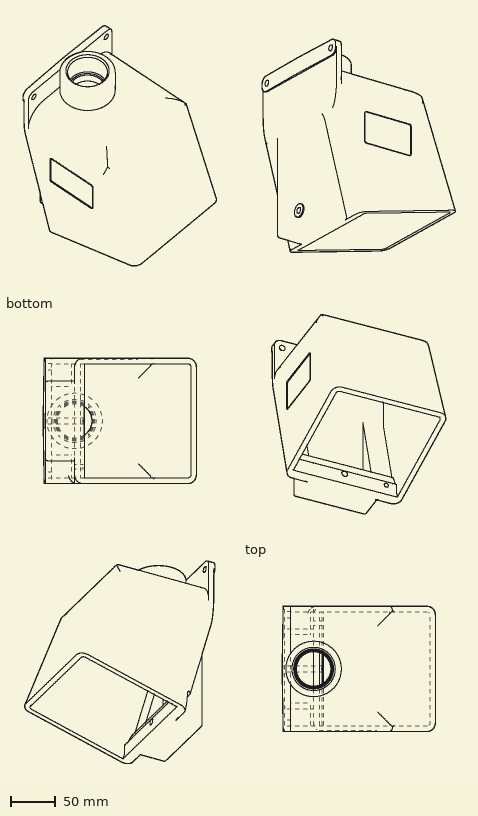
import cadquery as cq
import math

WIDTH = 139.7
HALF_WIDTH = WIDTH / 2
PLATE_TOP = 203.2
PLATE_THICKNESS = 6.6
PLATE_CORNER_RADIUS = 7.94
HOOD_TOP = 174.625
REAR_ANGLE = math.radians(15.2)
FRONT_ANGLE = math.radians(20)
REAR_FOOT_X = 32.7
FRONT_FOOT_X = 168.29
TOP_RADIUS = 25.4
REAR_CORNER_RADIUS = 9.525
FRONT_CORNER_RADIUS = 9.9
WALL = 6.35

BOX_HALF_WIDTH = 44.45
BOX_EDGE_RADIUS = 3.0
BOX_OVERLAP = 3.0

LEDGE_Z = 22.2
LEDGE_START_X = 38.9
LEDGE_EDGE_RADIUS = 1.8
BASE_FRONT_X = 41.7
LIP_THICKNESS = 11.1
FLOOR_END_X = 32.2
FLOOR_SLOPE_ANGLE = math.radians(25)
FLOOR_Z = LEDGE_Z + (LEDGE_START_X - FLOOR_END_X) / math.tan(FLOOR_SLOPE_ANGLE)

NOTCH_FACE_X = REAR_FOOT_X
NOTCH_CEILING_Z = 24.3
NOTCH_INNER_RADIUS = 2.8
NOTCH_OUTER_RADIUS = 1.6
NOTCH_HOLE_DIAMETER = 5.0
NOTCH_HOLE_Y = 50.8
NOTCH_HOLE_Z = 16.7

SPOUT_X = 32.6
SPOUT_TOP = 206.5
SPOUT_RADIUS = 30.9
SPOUT_LIP_RADIUS = SPOUT_TOP - PLATE_TOP
BORE_MOUTH_RADIUS = 24.1
BORE_TOP_RADIUS = 22.2
BORE_BOTTOM_RADIUS = 21.4
BORE_CONE_RADIUS = 20.4
OUTLET_RADIUS = 19.2
BORE_MOUTH_DEPTH = 2.2
BORE_DEPTH = 25.4
CONE_DEPTH = 27.2
OUTLET_DEPTH = 28.3

MOUNT_HOLE_DIAMETER = 6.8
MOUNT_HOLE_INSET = 9.525
BOX_HOLE_Z = 17.46
PAD_HEIGHT = 19.05
PAD_CENTRE_THICKNESS = 2.6
PAD_END_THICKNESS = 1.4
SEAT_DIAMETER = 15.875
SEAT_THICKNESS = 1.5875
LABEL_LENGTH = 63.5
LABEL_HEIGHT = 38.1
LABEL_THICKNESS = 0.8
LABEL_CORNER_RADIUS = 2.5
LABEL_RECESS = 0.5
LABEL_X = 70.8
LABEL_Z = 104.8

REACH = 2 * PLATE_TOP


def bottom_z(x):
    """Height of the sloping open bottom, which is square to the rear wall."""
    return (x - REAR_FOOT_X) * math.tan(REAR_ANGLE)


def rear_x(z, inset=0):
    """X of the leaning rear wall at height z, moved inward by inset."""
    return REAR_FOOT_X + inset / math.cos(REAR_ANGLE) - z * math.tan(REAR_ANGLE)


def front_x(z, inset=0):
    """X of the leaning front wall at height z, moved inward by inset."""
    rise = z - bottom_z(FRONT_FOOT_X)
    return FRONT_FOOT_X - inset / math.cos(FRONT_ANGLE) - rise * math.tan(FRONT_ANGLE)


def prism_xz(points, y_low, y_high):
    """Prism of an XZ polygon between two Y values."""
    outline = cq.Workplane("XZ", origin=(0, y_high, 0)).polyline(points).close()
    return outline.extrude(y_high - y_low)


def edge_along_y(x, z):
    """Selector of the edge along Y that is nearest to an XZ point of a prism centred on Y = 0."""
    return cq.selectors.NearestToPointSelector((x, 0, z))


def cylinder_x(diameter, x_low, x_high, y, z):
    """Cylinder along X."""
    return (
        cq.Workplane("YZ", origin=(x_low, y, z))
        .circle(diameter / 2)
        .extrude(x_high - x_low)
    )


def leaning_bar(foot_x, angle, half_width, radius, edges, shift):
    """Long bar with one face on a leaning wall and the corners of that face rounded."""
    bar = cq.Workplane("XY").box(REACH, 2 * half_width, 2 * REACH)
    bar = bar.edges(edges).fillet(radius).translate((shift * REACH / 2, 0, 0))
    return bar.rotate((0, 0, 0), (0, 1, 0), -math.degrees(angle)).translate((foot_x, 0, 0))


def rear_bar():
    """Everything in front of the rear wall."""
    return leaning_bar(rear_x(0), REAR_ANGLE, HALF_WIDTH, REAR_CORNER_RADIUS, "|Z and <X", 1)


def front_bar(inset):
    """Everything behind the front wall."""
    radius = FRONT_CORNER_RADIUS - inset
    return leaning_bar(front_x(0, inset), FRONT_ANGLE, HALF_WIDTH - inset, radius, "|Z and >X", -1)


def hood_envelope(inset):
    """Hood without rear and bottom limits: three rounded prisms that meet in mitred edges."""
    top = HOOD_TOP - inset
    top_radius = TOP_RADIUS - inset
    half_width = HALF_WIDTH - inset
    side_prism = prism_xz(
        [(0, -top), (front_x(-top, inset), -top), (front_x(top, inset), top), (0, top)],
        -half_width,
        half_width,
    )
    side_prism = side_prism.edges(edge_along_y(front_x(top, inset), top)).fillet(top_radius)
    top_prism = (
        cq.Workplane("XY")
        .box(REACH, 2 * half_width, 2 * top)
        .edges("|X and >Z")
        .fillet(top_radius)
    )
    return side_prism.intersect(top_prism).intersect(front_bar(inset))


def make_plate():
    """Mounting plate, its lower end to be cut by the leaning rear wall."""
    return (
        cq.Workplane("XY")
        .box(PLATE_THICKNESS, WIDTH, PLATE_TOP, centered=(False, True, False))
        .edges("|X and >Z")
        .fillet(PLATE_CORNER_RADIUS)
    )


def make_box():
    """Box that fills the wedge between the plate plane and the rear wall."""
    front = rear_x(0, BOX_OVERLAP)
    peak_z = front / math.tan(REAR_ANGLE)
    box = prism_xz(
        [(0, 0), (front, 0), (0, peak_z)],
        -BOX_HALF_WIDTH,
        BOX_HALF_WIDTH,
    )
    return box.edges("|Z or |X or (<X and <Z)").fillet(BOX_EDGE_RADIUS)


def make_base():
    """Solid foot of the box: a floor that slopes down to a ledge with a rounded front edge."""
    lip_top = (rear_x(0, LIP_THICKNESS) - BASE_FRONT_X) / math.tan(REAR_ANGLE)
    base = prism_xz(
        [
            (0, -HOOD_TOP),
            (rear_x(-HOOD_TOP, LIP_THICKNESS), -HOOD_TOP),
            (BASE_FRONT_X, lip_top),
            (BASE_FRONT_X, LEDGE_Z),
            (LEDGE_START_X, LEDGE_Z),
            (FLOOR_END_X, FLOOR_Z),
            (0, FLOOR_Z),
        ],
        -HALF_WIDTH,
        HALF_WIDTH,
    )
    return base.edges(edge_along_y(BASE_FRONT_X, LEDGE_Z)).fillet(LEDGE_EDGE_RADIUS)


def make_cavity():
    """Inside of the hood and the box, open at the bottom and standing on the base."""
    peak = (PLATE_THICKNESS, (rear_x(0, WALL) - PLATE_THICKNESS) / math.tan(REAR_ANGLE))
    foot = (rear_x(-HOOD_TOP, WALL), -HOOD_TOP)
    hood_limits = prism_xz(
        [foot, (REACH, -HOOD_TOP), (REACH, HOOD_TOP), (PLATE_THICKNESS, HOOD_TOP), peak],
        -HALF_WIDTH,
        HALF_WIDTH,
    )
    box_inside = prism_xz(
        [(PLATE_THICKNESS, -HOOD_TOP), foot, peak],
        WALL - BOX_HALF_WIDTH,
        BOX_HALF_WIDTH - WALL,
    )
    return hood_envelope(WALL).intersect(hood_limits).union(box_inside).cut(make_base())


def make_notch():
    """Corner notch with an upright face, a ceiling and rounded ceiling edges."""
    lip_x = rear_x(NOTCH_CEILING_Z)
    notch = prism_xz(
        [
            (-NOTCH_FACE_X, -NOTCH_FACE_X),
            (NOTCH_FACE_X, -NOTCH_FACE_X),
            (NOTCH_FACE_X, NOTCH_CEILING_Z),
            (lip_x, NOTCH_CEILING_Z),
            (rear_x(2 * NOTCH_CEILING_Z), 2 * NOTCH_CEILING_Z),
            (-NOTCH_FACE_X, 2 * NOTCH_CEILING_Z),
        ],
        -HALF_WIDTH,
        HALF_WIDTH,
    )
    notch = notch.edges(edge_along_y(NOTCH_FACE_X, NOTCH_CEILING_Z)).fillet(NOTCH_INNER_RADIUS)
    notch = notch.edges(edge_along_y(lip_x, NOTCH_CEILING_Z)).fillet(NOTCH_OUTER_RADIUS)
    return notch.translate((0, BOX_HALF_WIDTH + HALF_WIDTH, 0))


def make_spout():
    """Round pipe spout with a rounded lip."""
    return (
        cq.Workplane("XY", origin=(SPOUT_X, 0, HOOD_TOP - WALL / 2))
        .circle(SPOUT_RADIUS)
        .extrude(SPOUT_TOP - HOOD_TOP + WALL / 2)
        .faces(">Z")
        .edges()
        .fillet(SPOUT_LIP_RADIUS)
    )


def make_spout_bore():
    """Countersunk tapered bore ending in a conical seat and a narrower outlet."""
    outlet_end = SPOUT_TOP - HOOD_TOP + 2 * WALL
    return (
        cq.Workplane("XZ")
        .polyline([
            (0, 0),
            (BORE_MOUTH_RADIUS, 0),
            (BORE_TOP_RADIUS, -BORE_MOUTH_DEPTH),
            (BORE_BOTTOM_RADIUS, -BORE_DEPTH),
            (BORE_CONE_RADIUS, -CONE_DEPTH),
            (OUTLET_RADIUS, -OUTLET_DEPTH),
            (OUTLET_RADIUS, -outlet_end),
            (0, -outlet_end),
        ])
        .close()
        .revolve(360, (0, 0, 0), (0, 1, 0))
        .translate((SPOUT_X, 0, SPOUT_TOP))
    )


def mount_holes():
    """Two holes near the top corners, through the pad and the plate."""
    hole_y = HALF_WIDTH - MOUNT_HOLE_INSET
    hole_z = PLATE_TOP - MOUNT_HOLE_INSET
    left = cylinder_x(MOUNT_HOLE_DIAMETER, -PLATE_THICKNESS, 2 * PLATE_THICKNESS, hole_y, hole_z)
    return left.union(left.mirror("XZ"))


def box_hole():
    """Hole low on the box, through the seat and the box."""
    return cylinder_x(MOUNT_HOLE_DIAMETER, -PLATE_THICKNESS, HALF_WIDTH, 0, BOX_HOLE_Z)


def label_shape(depth_start, depth_end):
    """Rounded rectangle between two depths below the -Y side of the hood."""
    return (
        cq.Workplane("XZ", origin=(LABEL_X, depth_end - HALF_WIDTH, LABEL_Z))
        .rect(LABEL_LENGTH, LABEL_HEIGHT)
        .extrude(depth_end - depth_start)
        .edges("|Y")
        .fillet(LABEL_CORNER_RADIUS)
    )


def make_label():
    """Label plate, lying slightly sunk in its pocket."""
    return label_shape(LABEL_RECESS, LABEL_RECESS + LABEL_THICKNESS)


def make_pad():
    """Pad behind the top of the plate, thickest in the middle."""
    return (
        cq.Workplane("XY", origin=(0, 0, PLATE_TOP - PAD_HEIGHT))
        .polyline([
            (0, -HALF_WIDTH),
            (0, HALF_WIDTH),
            (-PAD_END_THICKNESS, HALF_WIDTH),
            (-PAD_CENTRE_THICKNESS, 0),
            (-PAD_END_THICKNESS, -HALF_WIDTH),
        ])
        .close()
        .extrude(PAD_HEIGHT)
        .edges("|X")
        .fillet(PLATE_CORNER_RADIUS)
    )


def make_seat():
    """Round seat around the hole low on the box."""
    return cylinder_x(SEAT_DIAMETER, -SEAT_THICKNESS, 0, 0, BOX_HOLE_Z)


def space_above_bottom():
    """Everything above the sloping open bottom."""
    return prism_xz(
        [
            (-REACH, bottom_z(-REACH)),
            (REACH, bottom_z(REACH)),
            (REACH, REACH),
            (-REACH, REACH),
        ],
        -HALF_WIDTH,
        HALF_WIDTH,
    )


def make_housing():
    """Hood, plate, box, spout, pad and seat as one hollow casting with its holes."""
    housing = hood_envelope(0).union(make_plate()).intersect(rear_bar())
    housing = housing.union(make_box()).intersect(space_above_bottom())
    housing = housing.union(make_spout()).union(make_pad()).union(make_seat())
    housing = housing.cut(make_cavity()).cut(make_spout_bore()).cut(make_notch())
    notch_hole = cylinder_x(NOTCH_HOLE_DIAMETER, 0, HALF_WIDTH, NOTCH_HOLE_Y, NOTCH_HOLE_Z)
    housing = housing.cut(notch_hole).cut(mount_holes()).cut(box_hole())
    return housing.cut(label_shape(0, LABEL_RECESS + LABEL_THICKNESS))


housing = make_housing()
label = make_label()

result = cq.Compound.makeCompound([housing.val(), label.val()])